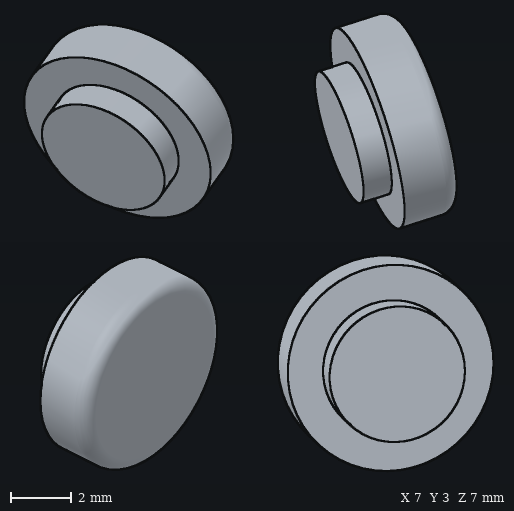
import cadquery as cq

head_diameter = 7.0
total_length = 3.0
stub_length = 1.0
stub_diameter = 4.6
rim_radius = 0.5

head_thickness = total_length - stub_length

head = (
    cq.Workplane("XZ")
    .circle(head_diameter / 2)
    .extrude(-head_thickness)
    .faces(">Y")
    .edges()
    .fillet(rim_radius)
)

stub = cq.Workplane("XZ").circle(stub_diameter / 2).extrude(stub_length)

result = head.union(stub)